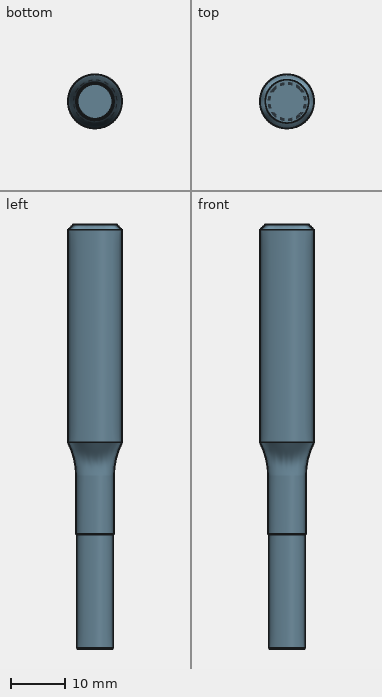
import cadquery as cq
import math

total_length = 78.0
shank_diameter = 10.0
neck_diameter = 7.0

tip_length = 21.05
blend_bottom = 31.9
shank_bottom = 38.0

shank_chamfer = 1.0
neck_end_chamfer = 0.14
tip_end_chamfer_width = 0.195
tip_end_chamfer_height = 0.3

shank_radius = shank_diameter / 2
neck_radius = neck_diameter / 2
tip_radius = neck_radius - neck_end_chamfer


def blend_midpoint():
    """Middle of the concave arc that leaves the neck tangentially and meets the shank."""
    rise = shank_bottom - blend_bottom
    spread = shank_radius - neck_radius
    arc_radius = (rise**2 + spread**2) / (2 * spread)
    half_angle = math.asin(rise / arc_radius) / 2
    return (
        neck_radius + arc_radius * (1 - math.cos(half_angle)),
        blend_bottom + arc_radius * math.sin(half_angle),
    )


def make_holder():
    """Chamfered shank that narrows through a concave blend to a neck with a chamfered end."""
    return (
        cq.Workplane("XZ")
        .moveTo(0, tip_length)
        .lineTo(tip_radius, tip_length)
        .lineTo(neck_radius, tip_length + neck_end_chamfer)
        .lineTo(neck_radius, blend_bottom)
        .threePointArc(blend_midpoint(), (shank_radius, shank_bottom))
        .lineTo(shank_radius, total_length - shank_chamfer)
        .lineTo(shank_radius - shank_chamfer, total_length)
        .lineTo(0, total_length)
        .close()
        .revolve(360, (0, 0, 0), (0, 1, 0))
    )


def make_tip():
    """Cylindrical tip with a chamfered free end."""
    return (
        cq.Workplane("XZ")
        .lineTo(tip_radius - tip_end_chamfer_width, 0)
        .lineTo(tip_radius, tip_end_chamfer_height)
        .lineTo(tip_radius, tip_length)
        .lineTo(0, tip_length)
        .close()
        .revolve(360, (0, 0, 0), (0, 1, 0))
    )


holder = make_holder()
tip = make_tip()

result = cq.Compound.makeCompound([holder.val(), tip.val()])